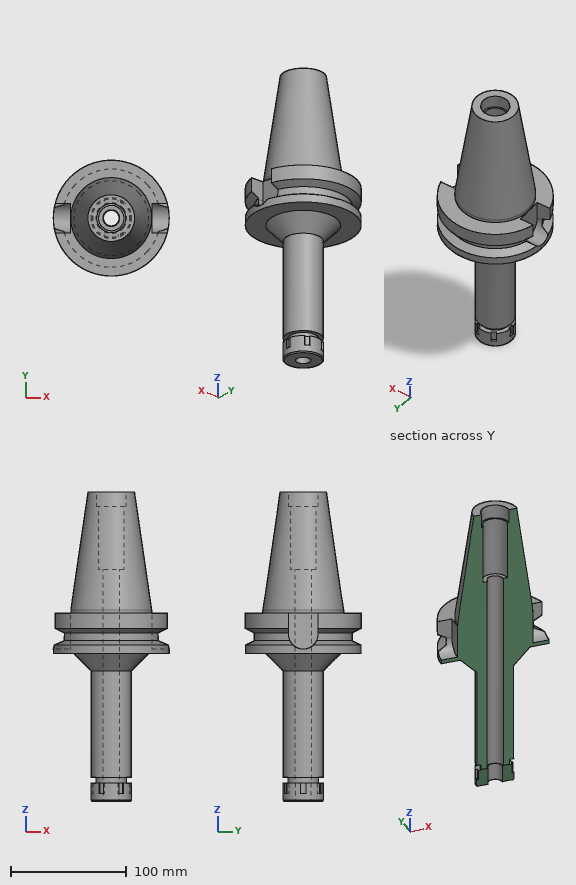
import cadquery as cq

total_length = 266.8
nut_height = 15.7
neck_top = 20.5
shank_top = 112.3
flange_bottom = 127.3
lower_rim_top = 134.7
groove_bottom = 138.5
groove_top = 145.1
upper_rim_bottom = 149.1
flange_top = 162.2
taper_bottom = 165.1

flange_diameter = 100.0
flange_radius = flange_diameter / 2
groove_radius = 42.5
taper_large_radius = 35.0
taper_ratio = 7 / 24
taper_small_radius = taper_large_radius - (total_length - taper_bottom) * taper_ratio / 2
shank_radius = 17.3
shank_cone_radius = shank_radius + flange_bottom - shank_top
neck_radius = 13.3

mouth_radius = 12.5
mouth_depth = 12.5
stud_radius = 11.0
stud_hole_depth = 66.7
through_radius = 7.2

drive_slot_width = 25.3
drive_slot_bottom = 131.3
drive_slot_floor = 35.2

nut_radius = 17.5
nut_chamfer = 1.0
nut_bore_radius = 6.7
wrench_slot_count = 6
wrench_slot_width = 4.5
wrench_slot_bottom = 7.0
wrench_slot_depth = 2.0


def cylinder(radius, bottom, top):
    return cq.Workplane("XY").workplane(offset=bottom).circle(radius).extrude(top - bottom)


def holder_blank():
    """Revolved outside of the holder: neck, shank, grooved flange and taper."""
    profile = [
        (0, nut_height),
        (neck_radius, nut_height),
        (neck_radius, neck_top),
        (shank_radius, neck_top),
        (shank_radius, shank_top),
        (shank_cone_radius, flange_bottom),
        (flange_radius, flange_bottom),
        (flange_radius, lower_rim_top),
        (groove_radius, groove_bottom),
        (groove_radius, groove_top),
        (flange_radius, upper_rim_bottom),
        (flange_radius, flange_top),
        (taper_large_radius, flange_top),
        (taper_large_radius, taper_bottom),
        (taper_small_radius, total_length),
        (0, total_length),
    ]
    return cq.Workplane("XZ").polyline(profile).close().revolve(360, (0, 0, 0), (0, 1, 0))


def holder_bore():
    """Stepped bore: wide mouth, pull-stud hole and through hole."""
    mouth = cylinder(mouth_radius, total_length - mouth_depth, total_length)
    stud_hole = cylinder(stud_radius, total_length - stud_hole_depth, total_length)
    through_hole = cylinder(through_radius, nut_height, total_length)
    return mouth.union(stud_hole).union(through_hole)


def drive_slot():
    """Cutter for the +X drive slot, open at the top and round at the bottom."""
    half_width = drive_slot_width / 2
    arc_center = drive_slot_bottom + half_width
    return (
        cq.Workplane("YZ")
        .workplane(offset=drive_slot_floor)
        .moveTo(-half_width, flange_top)
        .lineTo(-half_width, arc_center)
        .threePointArc((0, drive_slot_bottom), (half_width, arc_center))
        .lineTo(half_width, flange_top)
        .close()
        .extrude(flange_radius - drive_slot_floor)
    )


def make_holder():
    holder = holder_blank().cut(holder_bore())
    for angle in (0, 180):
        holder = holder.cut(drive_slot().rotate((0, 0, 0), (0, 0, 1), angle))
    return holder


def wrench_slot():
    """Cutter for one wrench slot on the +X side, open at the top of the nut."""
    return (
        cq.Workplane("XY")
        .box(2 * wrench_slot_depth, wrench_slot_width, nut_height - wrench_slot_bottom,
             centered=(True, True, False))
        .translate((nut_radius, 0, wrench_slot_bottom))
    )


def make_nut():
    nut = cylinder(nut_radius, 0, nut_height).faces("<Z").edges().chamfer(nut_chamfer)
    nut = nut.cut(cylinder(nut_bore_radius, 0, nut_height))
    for index in range(wrench_slot_count):
        angle = index * 360 / wrench_slot_count
        nut = nut.cut(wrench_slot().rotate((0, 0, 0), (0, 0, 1), angle))
    return nut


holder = make_holder()
nut = make_nut()
result = cq.Compound.makeCompound([holder.val(), nut.val()])